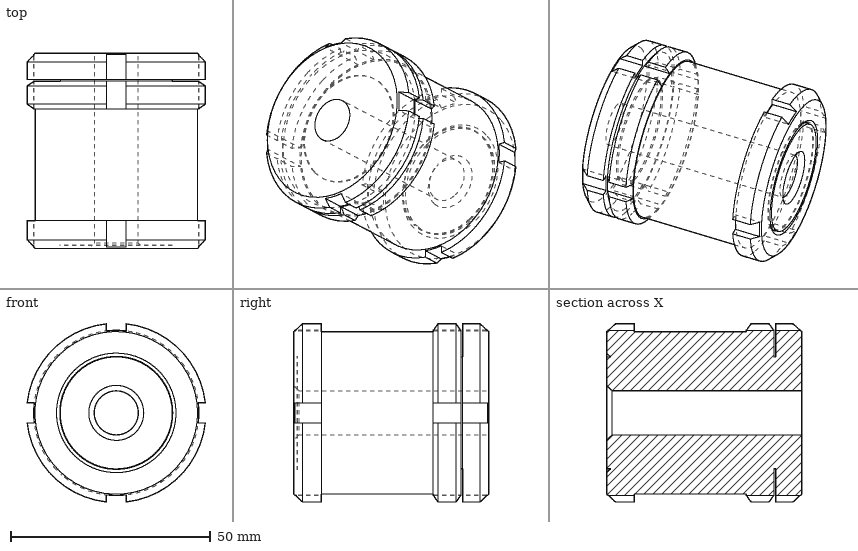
import cadquery as cq

length = 49.0
flange_diameter = 45.02
body_diameter = 40.8
end_chamfer_width = 2.2

front_flange_width = 7.0

middle_ring_width = 7.0
back_ring_width = 6.6
ring_gap = 0.4
middle_chamfer_width = 1.2

core_diameter = 28.1
seat_diameter = 28.38
seat_mouth_diameter = 30.0
seat_depth = (seat_mouth_diameter - core_diameter) / 2
bore_diameter = 11.0
bore_mouth_diameter = 13.8
bore_chamfer = (bore_mouth_diameter - bore_diameter) / 2

slot_width = 5.0
slot_floor_diameter = 41.5
slot_count = 4

back_ring_start = length - back_ring_width
middle_ring_end = back_ring_start - ring_gap
middle_ring_start = middle_ring_end - middle_ring_width


def frustum(start_diameter, end_diameter, start, end):
    """Solid of revolution about Y whose diameter changes linearly from start to end."""
    outline = [
        (0, start),
        (start_diameter / 2, start),
        (end_diameter / 2, end),
        (0, end),
    ]
    return cq.Workplane("XY").polyline(outline).close().revolve(360, (0, 0), (0, 1))


def cylinder(diameter, start, end):
    """Cylinder about Y."""
    return frustum(diameter, diameter, start, end)


def ring(start, end, end_diameter, front_chamfer=0, back_chamfer=0):
    """Rim of flange diameter whose chamfered ends taper down to end_diameter."""
    solid = cylinder(flange_diameter, start + front_chamfer, end - back_chamfer)
    if front_chamfer:
        solid = solid.union(frustum(end_diameter, flange_diameter, start, start + front_chamfer))
    if back_chamfer:
        solid = solid.union(frustum(flange_diameter, end_diameter, end - back_chamfer, end))
    return solid


def turned_blank():
    """Rings and body on the core; the middle ring's chamfers end flush with its slot floors."""
    blank = cylinder(core_diameter, 0, length)
    blank = blank.union(cylinder(body_diameter, 0, middle_ring_end))
    front_flange = ring(0, front_flange_width, body_diameter, front_chamfer=end_chamfer_width)
    middle_ring = ring(
        middle_ring_start,
        middle_ring_end,
        slot_floor_diameter,
        front_chamfer=middle_chamfer_width,
        back_chamfer=middle_chamfer_width,
    )
    back_ring = ring(back_ring_start, length, body_diameter, back_chamfer=end_chamfer_width)
    return blank.union(front_flange).union(middle_ring).union(back_ring)


def spanner_slots():
    """Radial slot cutters whose floors follow a cylinder about the axis."""
    cutters = cq.Workplane("XY")
    for index in range(slot_count):
        bar = cq.Workplane("XY").box(slot_width, length, flange_diameter, centered=(True, False, False))
        cutters = cutters.add(bar.rotate((0, 0, 0), (0, 1, 0), index * 360 / slot_count))
    return cutters.combine().cut(cylinder(slot_floor_diameter, 0, length))


def axial_bore():
    """Through bore with a chamfered mouth at the front."""
    mouth = frustum(bore_mouth_diameter, bore_diameter, 0, bore_chamfer)
    return cylinder(bore_diameter, 0, length).union(mouth)


def core_seam():
    """Chamfered recess around the front end of the core."""
    mouth_depth = (seat_mouth_diameter - seat_diameter) / 2
    mouth = frustum(seat_mouth_diameter, seat_diameter, 0, mouth_depth)
    seat = cylinder(seat_diameter, mouth_depth, seat_depth)
    return mouth.union(seat).cut(cylinder(core_diameter, 0, seat_depth))


result = turned_blank().cut(spanner_slots()).cut(core_seam()).cut(axial_bore())